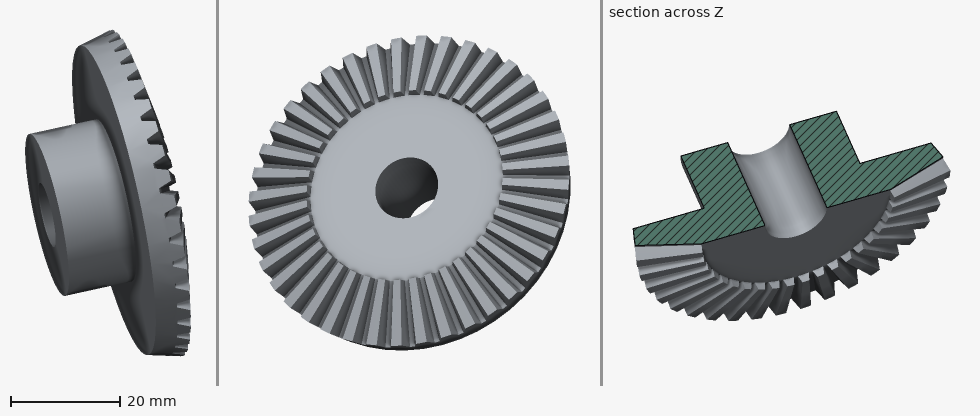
import cadquery as cq
import math

tooth_count = 40
total_length = 21.7
hub_length = 12.7
hub_radius = 15.2
bore_radius = 6.0

tip_radius = 30.602
tip_height = 18.92
inner_tip_radius = 18.7
back_cone_angle = 14.04
inner_floor_height = 20.3
outer_floor_height = 16.53

outer_gap_tip_width = 2.8
outer_gap_floor_width = 0.95
inner_gap_tip_width = 1.62
inner_gap_floor_width = 0.75
cutter_overrun = 1.5

cone_slope = math.tan(math.radians(back_cone_angle))
back_radius = tip_radius - (tip_height - hub_length) * cone_slope
inner_floor_radius = inner_tip_radius - (total_length - inner_floor_height) * cone_slope
outer_floor_radius = tip_radius - (tip_height - outer_floor_height) * cone_slope


def line_through(start, end, position):
    """Value at a position on the straight line through two (position, value) points."""
    slope = (end[1] - start[1]) / (end[0] - start[0])
    return start[1] + slope * (position - start[0])


def make_blank():
    """Hub and rim, turned about the Y axis, before the teeth are cut."""
    return (
        cq.Workplane("XY")
        .moveTo(bore_radius, 0)
        .lineTo(hub_radius, 0)
        .lineTo(hub_radius, hub_length)
        .lineTo(back_radius, hub_length)
        .lineTo(tip_radius, tip_height)
        .lineTo(inner_tip_radius, total_length)
        .lineTo(inner_floor_radius, inner_floor_height)
        .lineTo(bore_radius, inner_floor_height)
        .close()
        .revolve(360, (0, 0, 0), (0, 1, 0))
    )


def gap_section(radius):
    """Trapezoidal section of the tooth gap, square to the Z axis at Z = radius."""
    floor = line_through(
        (inner_floor_radius, inner_floor_height), (outer_floor_radius, outer_floor_height), radius
    )
    tip = line_through((inner_tip_radius, total_length), (tip_radius, tip_height), radius)
    floor_width = line_through(
        (inner_floor_radius, inner_gap_floor_width), (outer_floor_radius, outer_gap_floor_width), radius
    )
    tip_width = line_through(
        (inner_tip_radius, inner_gap_tip_width), (tip_radius, outer_gap_tip_width), radius
    )
    top = tip + cutter_overrun
    top_width = line_through((floor, floor_width), (tip, tip_width), top)
    return cq.Wire.makePolygon(
        [
            cq.Vector(-floor_width / 2, floor, radius),
            cq.Vector(floor_width / 2, floor, radius),
            cq.Vector(top_width / 2, top, radius),
            cq.Vector(-top_width / 2, top, radius),
        ],
        close=True,
    )


def make_gap_cutter():
    """Tapered bar that cuts the tooth gap on the +Z side."""
    inner_section = gap_section(inner_floor_radius - cutter_overrun)
    outer_section = gap_section(tip_radius + cutter_overrun)
    return cq.Solid.makeLoft([inner_section, outer_section], True)


def cut_teeth(blank):
    """Cut one gap per tooth, the first one centred on +Z."""
    cutter = make_gap_cutter()
    pitch_angle = 360 / tooth_count
    cutters = [
        cutter.rotate(cq.Vector(0, 0, 0), cq.Vector(0, 1, 0), index * pitch_angle)
        for index in range(tooth_count)
    ]
    return cq.Workplane("XY").newObject([blank.val().cut(*cutters)])


result = cut_teeth(make_blank())